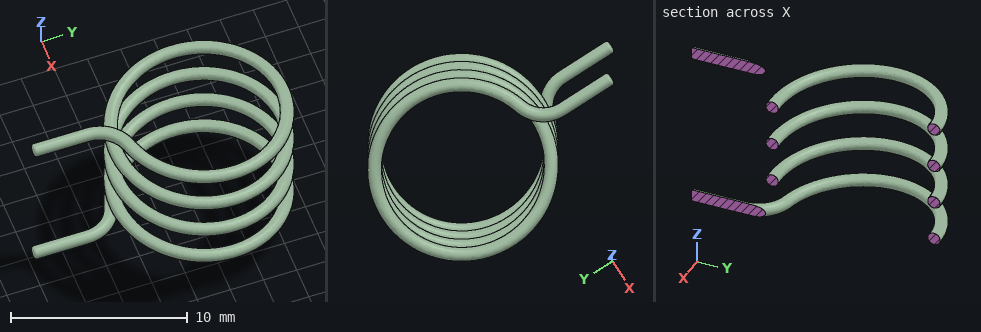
import cadquery as cq
import math

WIRE_DIAMETER = 0.8
COIL_RADIUS = 5.0
PITCH = 2.5
COIL_TURNS = 3.9
BEND_RADIUS = 2.0
LEG_LENGTH = 3.3
TIP_ROUNDING = 0.16

WIRE_RADIUS = WIRE_DIAMETER / 2
COIL_HEIGHT = PITCH * COIL_TURNS
BEND_START_Y = -math.sqrt((COIL_RADIUS + BEND_RADIUS) ** 2 - BEND_RADIUS ** 2)
TANGENT_ANGLE = math.degrees(math.asin(BEND_RADIUS / (COIL_RADIUS + BEND_RADIUS)))
HELIX_END_ANGLE = 360 * (math.ceil(COIL_TURNS) - COIL_TURNS) - TANGENT_ANGLE


def coil_point(angle, z):
    """Point on the coil circle, angle in degrees from -Y toward +X."""
    a = math.radians(angle)
    return cq.Vector(COIL_RADIUS * math.sin(a), -COIL_RADIUS * math.cos(a), z)


def sweep_wire(path, start, direction):
    """Sweep the round wire section along a path from its start point."""
    section = cq.Workplane(cq.Plane(origin=start, normal=direction)).circle(WIRE_RADIUS)
    return section.sweep(path, isFrenet=True)


def make_coil():
    """Left-handed coil whose section lies in planes through the coil axis."""
    helix = cq.Wire.makeHelix(PITCH, COIL_HEIGHT, COIL_RADIUS, lefthand=True)
    coil = sweep_wire(helix, (COIL_RADIUS, 0, 0), (0, -1, 0))
    return coil.rotate((0, 0, 0), (0, 0, 1), -90 - TANGENT_ANGLE)


def make_leg(side, z):
    """Straight leg along -Y and its bend toward the given X side (+1 or -1)."""
    leg = (
        cq.Workplane("XZ", origin=(0, BEND_START_Y, z))
        .circle(WIRE_RADIUS)
        .extrude(LEG_LENGTH)
        .faces("<Y")
        .edges()
        .fillet(TIP_ROUNDING)
    )
    bend = (
        cq.Workplane("XZ", origin=(0, BEND_START_Y, z))
        .circle(WIRE_RADIUS)
        .revolve(90 - TANGENT_ANGLE, (side * BEND_RADIUS, 0), (side * BEND_RADIUS, -side))
    )
    return leg.union(bend)


def make_flat_arc():
    """Short level arc joining the top of the helix to the upper bend."""
    middle_angle = (TANGENT_ANGLE + HELIX_END_ANGLE) / 2
    start = coil_point(TANGENT_ANGLE, COIL_HEIGHT)
    path = cq.Edge.makeThreePointArc(
        start,
        coil_point(middle_angle, COIL_HEIGHT),
        coil_point(HELIX_END_ANGLE, COIL_HEIGHT),
    )
    return sweep_wire(cq.Wire.assembleEdges([path]), start, path.tangentAt(0))


lower_leg = make_leg(-1, 0)
upper_leg = make_leg(1, COIL_HEIGHT)
result = make_coil().union(lower_leg).union(make_flat_arc()).union(upper_leg)